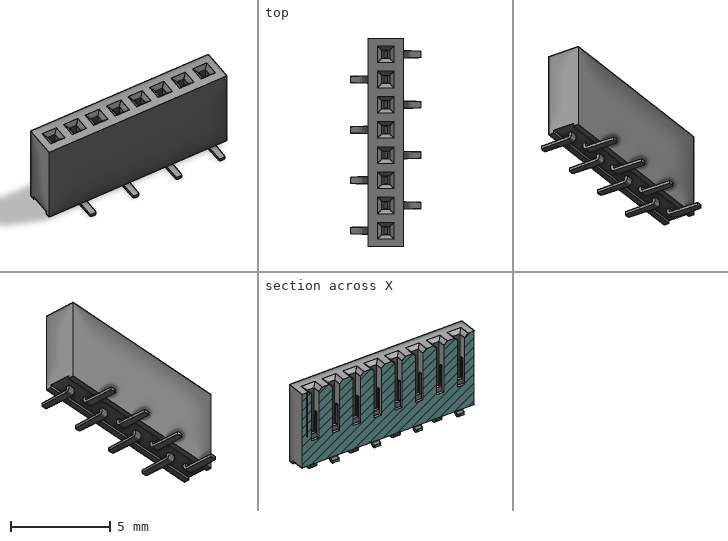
import cadquery as cq
import math


contact_count = 8
pitch = 1.27
row_length = (contact_count - 1) * pitch

overall_height = 4.83
body_width = 1.8
body_length = 10.51
standoff = 0.22
body_height = overall_height - standoff
channel_width = 1.2
channel_depth = 0.16

socket_mouth = 0.84
socket_bore = 0.42
funnel_depth = 0.2
socket_depth = 3.0
socket_floor = overall_height - socket_depth

contact_span = 3.58
contact_thickness = 0.16
contact_width = 0.41
contact_tip_width = 0.34
contact_tip_bulge = 0.03
bend_inner_radius = 0.06
bend_outer_radius = bend_inner_radius + contact_thickness

fork_width = 0.7
fork_height = 1.5
tine_projection = 0.035
fork_slot_width = socket_bore - 2 * tine_projection
fork_slot_rise = 0.3
fork_slot_bottom = socket_floor + fork_slot_rise
fork_top = socket_floor + fork_height


def make_housing():
    """Rectangular block with a channel running the full length of its underside."""
    block = (
        cq.Workplane("XY")
        .workplane(offset=standoff)
        .rect(body_width, body_length)
        .extrude(body_height)
    )
    channel = (
        cq.Workplane("XY")
        .workplane(offset=standoff)
        .rect(channel_width, body_length)
        .extrude(channel_depth)
    )
    return block.cut(channel)


def make_socket():
    """Void of one socket: a square lead-in funnel above a square blind bore."""
    funnel = (
        cq.Workplane("XY")
        .workplane(offset=overall_height)
        .rect(socket_mouth, socket_mouth)
        .workplane(offset=-funnel_depth)
        .rect(socket_bore, socket_bore)
        .loft(ruled=True)
    )
    bore = (
        cq.Workplane("XY")
        .workplane(offset=socket_floor)
        .rect(socket_bore, socket_bore)
        .extrude(socket_depth - funnel_depth)
    )
    return funnel.union(bore)


def make_fork():
    """U-shaped fork across the bore; 45-degree lead-ins open its slot to the bore walls."""
    half_fork = fork_width / 2
    half_bore = socket_bore / 2
    half_slot = fork_slot_width / 2
    lead_in_bottom = fork_top - tine_projection
    return (
        cq.Workplane("YZ")
        .moveTo(-half_fork, socket_floor)
        .lineTo(half_fork, socket_floor)
        .lineTo(half_fork, fork_top)
        .lineTo(half_bore, fork_top)
        .lineTo(half_slot, lead_in_bottom)
        .lineTo(half_slot, fork_slot_bottom)
        .lineTo(-half_slot, fork_slot_bottom)
        .lineTo(-half_slot, lead_in_bottom)
        .lineTo(-half_bore, fork_top)
        .lineTo(-half_fork, fork_top)
        .close()
        .extrude(contact_thickness / 2, both=True)
    )


def make_contact():
    """Forked upright post with a rounded bend into a tapered foot pointing to +X."""
    half_thickness = contact_thickness / 2
    tip_x = contact_span / 2
    bend_x = half_thickness + bend_inner_radius
    bend_z = bend_outer_radius
    inner_mid = bend_inner_radius * math.sqrt(0.5)
    outer_mid = bend_outer_radius * math.sqrt(0.5)
    strip = (
        cq.Workplane("XZ")
        .moveTo(-half_thickness, socket_floor)
        .lineTo(half_thickness, socket_floor)
        .lineTo(half_thickness, bend_z)
        .threePointArc((bend_x - inner_mid, bend_z - inner_mid), (bend_x, contact_thickness))
        .lineTo(tip_x, contact_thickness)
        .lineTo(tip_x, 0)
        .lineTo(bend_x, 0)
        .threePointArc((bend_x - outer_mid, bend_z - outer_mid), (-half_thickness, bend_z))
        .close()
        .extrude(contact_width / 2, both=True)
    )
    half_width = contact_width / 2
    half_tip = contact_tip_width / 2
    shoulder_x = tip_x - contact_tip_bulge
    plan = (
        cq.Workplane("XY")
        .moveTo(-half_thickness, -half_width)
        .lineTo(bend_x, -half_width)
        .lineTo(shoulder_x, -half_tip)
        .threePointArc((tip_x, 0), (shoulder_x, half_tip))
        .lineTo(bend_x, half_width)
        .lineTo(-half_thickness, half_width)
        .close()
        .extrude(socket_floor)
    )
    return strip.intersect(plan).union(make_fork())


def make_connector():
    """Housing with its sockets cut and contacts whose feet alternate sides."""
    connector = make_housing()
    socket = make_socket()
    right_contact = make_contact()
    left_contact = right_contact.rotate((0, 0, 0), (0, 0, 1), 180)
    for index in range(contact_count):
        position = (0, index * pitch - row_length / 2, 0)
        contact = left_contact if index % 2 == 0 else right_contact
        connector = connector.cut(socket.translate(position))
        connector = connector.union(contact.translate(position))
    return connector


result = make_connector()